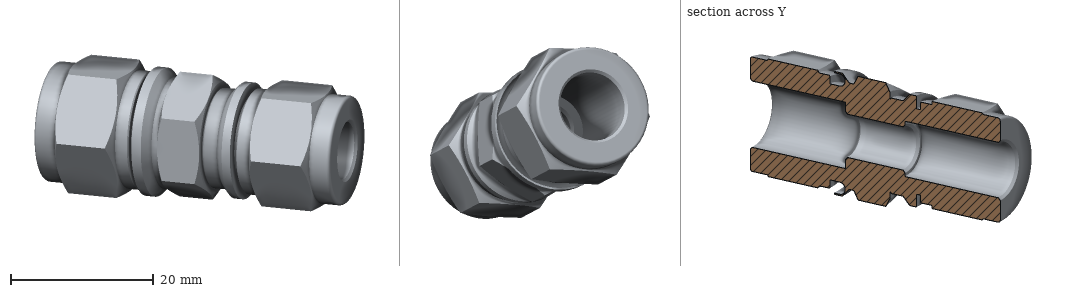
import cadquery as cq
import math

LENGTH = 43.7

LARGE_SLEEVE_END = 3.0
LARGE_HEX_END = 12.05
LARGE_COLLAR_END = 14.0
LARGE_NECK_END = 14.73
LARGE_FLANGE_END = 16.13
LARGE_CONE_END = 17.3
CENTRE_HEX_START = 18.1
CENTRE_HEX_END = 24.45
SMALL_SHANK_END = 26.7
SMALL_CONE_END = 27.85
SMALL_FLANGE_END = 29.05
SMALL_NECK_END = 29.67
SMALL_HEX_START = 31.7
SMALL_HEX_END = 40.7

LARGE_SLEEVE_DIAMETER = 17.0
LARGE_COLLAR_DIAMETER = 16.8
LARGE_NECK_DIAMETER = 14.3
LARGE_FLANGE_DIAMETER = 18.25
LARGE_SHANK_DIAMETER = 15.8
SMALL_SHANK_DIAMETER = 14.2
SMALL_FLANGE_DIAMETER = 16.5
SMALL_NECK_DIAMETER = 12.7
SMALL_COLLAR_DIAMETER = 15.0
SMALL_SLEEVE_DIAMETER = 15.5

SEAL_GROOVE_DIAMETER = 17.75
SEAL_GROOVE_STRAIGHT_DEPTH = 0.95

LARGE_HEX_CORNERS = 20.15
SMALL_HEX_CORNERS = 18.35
HEX_BEVEL_ANGLE = 30.0

LARGE_TUBE_DIAMETER = 9.75
LARGE_TUBE_MOUTH_DIAMETER = 10.5
SMALL_TUBE_DIAMETER = 8.15
SMALL_TUBE_MOUTH_DIAMETER = 8.85
FLOW_DIAMETER = 6.35
FLOW_MOUTH_DIAMETER = 7.12
LARGE_TUBE_STOP = 16.6
SMALL_TUBE_STOP = 27.1

SLEEVE_FILLET = 0.45
COLLAR_CHAMFER = 0.17
SHANK_CHAMFER = 0.25


def cone(start, end, start_diameter, end_diameter):
    """Solid of revolution about X with straight, possibly tapered, sides."""
    return (
        cq.Workplane("XY")
        .polyline([(start, 0), (start, start_diameter / 2), (end, end_diameter / 2), (end, 0)])
        .close()
        .revolve(360, (0, 0, 0), (1, 0, 0))
    )


def cylinder(start, end, diameter):
    return cone(start, end, diameter, diameter)


def hexagon(start, end, corners, start_diameter, end_diameter, corners_along_y):
    """Hexagonal prism along X, bevelled to the given diameter at each end."""
    corner_radius = corners / 2
    start_radius = start_diameter / 2
    end_radius = end_diameter / 2
    bevel_slope = math.tan(math.radians(HEX_BEVEL_ANGLE))
    start_bevel = (corner_radius - start_radius) * bevel_slope
    end_bevel = (corner_radius - end_radius) * bevel_slope
    prism = cq.Workplane("YZ", origin=(start, 0, 0)).polygon(6, corners).extrude(end - start)
    if not corners_along_y:
        prism = prism.rotate((0, 0, 0), (1, 0, 0), 90)
    envelope = (
        cq.Workplane("XY")
        .polyline([
            (start, 0),
            (start, start_radius),
            (start + start_bevel, corner_radius),
            (end - end_bevel, corner_radius),
            (end, end_radius),
            (end, 0),
        ])
        .close()
        .revolve(360, (0, 0, 0), (1, 0, 0))
    )
    return prism.intersect(envelope)


def tube_bore(face, stop, diameter, mouth_diameter):
    """Tube socket and the bevelled flow mouth at its floor, as a cutting tool."""
    inward = math.copysign(1, stop - face)
    mouth_depth = (mouth_diameter - diameter) / 2
    flow_mouth_depth = (FLOW_MOUTH_DIAMETER - FLOW_DIAMETER) / 2
    socket = cylinder(face, stop, diameter)
    mouth = cone(face, face + inward * mouth_depth, mouth_diameter, diameter)
    flow_mouth = cone(stop, stop + inward * flow_mouth_depth, FLOW_MOUTH_DIAMETER, FLOW_DIAMETER)
    return socket.union(mouth).union(flow_mouth)


def seal_groove():
    """Straight-walled annular groove with a half-round floor, as a cutting tool."""
    inner_radius = LARGE_NECK_DIAMETER / 2
    outer_radius = SEAL_GROOVE_DIAMETER / 2
    floor_radius = (outer_radius - inner_radius) / 2
    floor_start = LARGE_NECK_END + SEAL_GROOVE_STRAIGHT_DEPTH
    return (
        cq.Workplane("XY")
        .moveTo(LARGE_NECK_END, inner_radius)
        .lineTo(floor_start, inner_radius)
        .threePointArc(
            (floor_start + floor_radius, inner_radius + floor_radius),
            (floor_start, outer_radius),
        )
        .lineTo(LARGE_NECK_END, outer_radius)
        .close()
        .revolve(360, (0, 0, 0), (1, 0, 0))
    )


large_sleeve = cylinder(0, LARGE_SLEEVE_END, LARGE_SLEEVE_DIAMETER).faces("<X").edges().fillet(SLEEVE_FILLET)
large_collar = (
    cylinder(LARGE_HEX_END, LARGE_COLLAR_END, LARGE_COLLAR_DIAMETER)
    .faces(">X").edges().chamfer(COLLAR_CHAMFER)
)
large_hex = hexagon(
    LARGE_SLEEVE_END, LARGE_HEX_END, LARGE_HEX_CORNERS,
    LARGE_SLEEVE_DIAMETER, LARGE_COLLAR_DIAMETER, True,
)
large_nut = large_sleeve.union(large_hex).union(large_collar)

large_neck = cylinder(LARGE_COLLAR_END, LARGE_NECK_END, LARGE_NECK_DIAMETER)
large_flange = cylinder(LARGE_NECK_END, LARGE_FLANGE_END, LARGE_FLANGE_DIAMETER)
large_cone = cone(LARGE_FLANGE_END, LARGE_CONE_END, LARGE_FLANGE_DIAMETER, LARGE_SHANK_DIAMETER)
large_shank = cylinder(LARGE_CONE_END, CENTRE_HEX_START, LARGE_SHANK_DIAMETER)
centre_hex = hexagon(
    CENTRE_HEX_START, CENTRE_HEX_END, SMALL_HEX_CORNERS,
    LARGE_SHANK_DIAMETER, LARGE_SHANK_DIAMETER, False,
)
small_shank = (
    cylinder(CENTRE_HEX_END, SMALL_SHANK_END, SMALL_SHANK_DIAMETER)
    .faces("<X").edges().chamfer(SHANK_CHAMFER)
)
small_cone = cone(SMALL_SHANK_END, SMALL_CONE_END, SMALL_SHANK_DIAMETER, SMALL_FLANGE_DIAMETER)
small_flange = cylinder(SMALL_CONE_END, SMALL_FLANGE_END, SMALL_FLANGE_DIAMETER)
small_neck = cylinder(SMALL_FLANGE_END, SMALL_NECK_END, SMALL_NECK_DIAMETER)
body = large_neck
for section in (
    large_flange, large_cone, large_shank, centre_hex,
    small_shank, small_cone, small_flange, small_neck,
):
    body = body.union(section)
body = body.cut(seal_groove())

small_collar = (
    cylinder(SMALL_NECK_END, SMALL_HEX_START, SMALL_COLLAR_DIAMETER)
    .faces("<X").edges().chamfer(COLLAR_CHAMFER)
)
small_hex = hexagon(
    SMALL_HEX_START, SMALL_HEX_END, SMALL_HEX_CORNERS,
    SMALL_SLEEVE_DIAMETER, SMALL_SLEEVE_DIAMETER, True,
)
small_sleeve = (
    cylinder(SMALL_HEX_END, LENGTH, SMALL_SLEEVE_DIAMETER)
    .faces(">X").edges().fillet(SLEEVE_FILLET)
)
small_nut = small_collar.union(small_hex).union(small_sleeve)

flow_bore = cylinder(0, LENGTH, FLOW_DIAMETER)
large_bore = tube_bore(0, LARGE_TUBE_STOP, LARGE_TUBE_DIAMETER, LARGE_TUBE_MOUTH_DIAMETER)
small_bore = tube_bore(LENGTH, SMALL_TUBE_STOP, SMALL_TUBE_DIAMETER, SMALL_TUBE_MOUTH_DIAMETER)

result = body.union(large_nut).union(small_nut).cut(flow_bore).cut(large_bore).cut(small_bore)